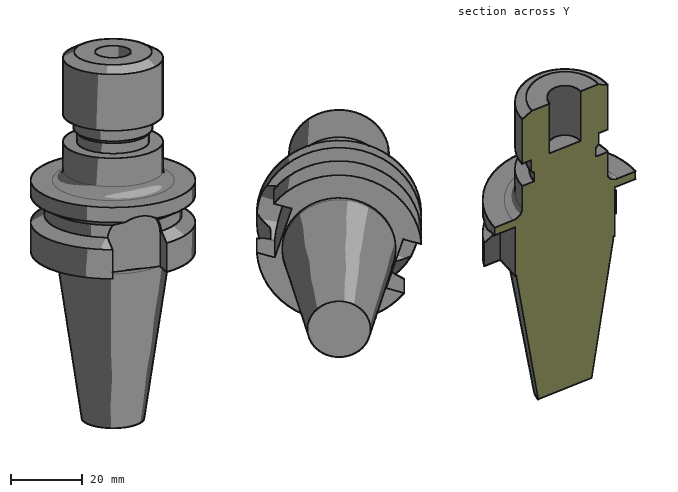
import cadquery as cq
import math

total_height = 108.4
gauge_height = 48.3
flange_bottom = 49.3
flange_top = 70.5
boss_top = 81.8
neck_top = 84.9
nose_bottom = 90.0

taper_small_radius = 8.8
taper_large_radius = 15.8
flange_radius = 23.0
groove_radius = 19.2
body_radius = 14.0
neck_radius = 10.1
collar_radius = 11.1
nose_face_radius = 10.8
bore_radius = 5.0

boss_fillet = 3.0
nose_chamfer_height = 1.7
bore_depth = total_height - nose_bottom
groove_floor_bottom = 60.2
groove_floor_top = 63.8
groove_side_height = (flange_radius - groove_radius) * math.tan(math.radians(30))
slot_width = 16.0
slot_floor = 16.3
slot_top = 67.4


def revolved_body():
    """Taper, grooved flange, boss, neck and nose as one turned solid."""
    collar_chamfer = collar_radius - neck_radius
    fillet_outer_radius = body_radius + boss_fillet
    fillet_offset = boss_fillet * math.sqrt(0.5)
    fillet_middle = (
        fillet_outer_radius - fillet_offset,
        flange_top + boss_fillet - fillet_offset,
    )
    profile = (
        cq.Workplane("XZ")
        .lineTo(taper_small_radius, 0)
        .lineTo(taper_large_radius, gauge_height)
        .lineTo(taper_large_radius, flange_bottom)
        .lineTo(flange_radius, flange_bottom)
        .lineTo(flange_radius, groove_floor_bottom - groove_side_height)
        .lineTo(groove_radius, groove_floor_bottom)
        .lineTo(groove_radius, groove_floor_top)
        .lineTo(flange_radius, groove_floor_top + groove_side_height)
        .lineTo(flange_radius, flange_top)
        .lineTo(fillet_outer_radius, flange_top)
        .threePointArc(fillet_middle, (body_radius, flange_top + boss_fillet))
        .lineTo(body_radius, boss_top)
        .lineTo(neck_radius, boss_top)
        .lineTo(neck_radius, neck_top)
        .lineTo(collar_radius, neck_top + collar_chamfer)
        .lineTo(collar_radius, nose_bottom)
        .lineTo(body_radius, nose_bottom)
        .lineTo(body_radius, total_height - nose_chamfer_height)
        .lineTo(nose_face_radius, total_height)
        .lineTo(0, total_height)
        .close()
    )
    return profile.revolve(360, (0, 0, 0), (0, 1, 0))


def drive_slot(side):
    """Round-topped cutter for one drive slot; side is +1 or -1 along X."""
    half_width = slot_width / 2
    arc_center_height = slot_top - half_width
    return (
        cq.Workplane("YZ", origin=(side * slot_floor, 0, 0))
        .moveTo(-half_width, flange_bottom)
        .lineTo(half_width, flange_bottom)
        .lineTo(half_width, arc_center_height)
        .threePointArc((0, slot_top), (-half_width, arc_center_height))
        .close()
        .extrude(side * flange_radius)
    )


def nose_bore():
    """Blind bore reaching down through the nose."""
    return (
        cq.Workplane("XY", origin=(0, 0, total_height - bore_depth))
        .circle(bore_radius)
        .extrude(bore_depth)
    )


result = revolved_body().cut(nose_bore())
for side in (1, -1):
    result = result.cut(drive_slot(side))